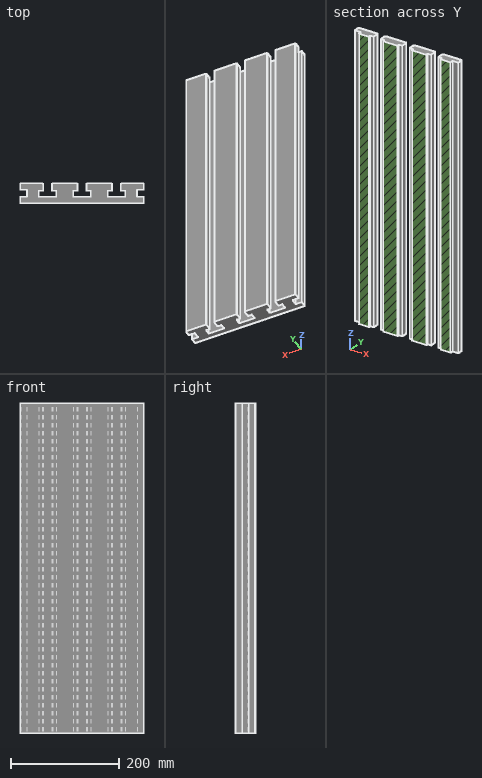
import cadquery as cq

WIDTH = 228.6
THICKNESS = 37.59
LENGTH = 609.6

SLOT_COUNT = 3
SLOT_PITCH = 63.5
SLOT_OPENING = 15.875
UNDERCUT_WIDTH = 31.75
UNDERCUT_HEIGHT = 10.67

GROOVE_DEPTH = 12.7
GROOVE_HEIGHT = 12.7

BASE_THICKNESS = (THICKNESS - GROOVE_HEIGHT) / 2
CORNER_CHAMFER = 1.52

FRONT_Y = -THICKNESS / 2
BACK_Y = THICKNESS / 2
FLOOR_Y = FRONT_Y + BASE_THICKNESS


def bar(x_center, x_size, y_start, y_end):
    """Rectangular bar running the full length of the plate."""
    return (
        cq.Workplane("XY")
        .box(x_size, y_end - y_start, LENGTH, centered=(True, False, True))
        .translate((x_center, y_start, 0))
    )


def t_slot(x_center):
    """Narrow opening plus the wider undercut beneath it."""
    opening = bar(x_center, SLOT_OPENING, FLOOR_Y, BACK_Y)
    undercut = bar(x_center, UNDERCUT_WIDTH, FLOOR_Y, FLOOR_Y + UNDERCUT_HEIGHT)
    return opening.union(undercut)


def edge_groove(side):
    """Groove in one side edge; side is -1 or +1 along X."""
    x_center = side * (WIDTH - GROOVE_DEPTH) / 2
    return bar(x_center, GROOVE_DEPTH, FLOOR_Y, FLOOR_Y + GROOVE_HEIGHT)


plate = bar(0, WIDTH, FRONT_Y, BACK_Y)

for index in range(SLOT_COUNT):
    slot_x = (index - (SLOT_COUNT - 1) / 2) * SLOT_PITCH
    plate = plate.cut(t_slot(slot_x))

for side in (-1, 1):
    plate = plate.cut(edge_groove(side))

result = plate.faces(">Y").edges("|Z").chamfer(CORNER_CHAMFER)